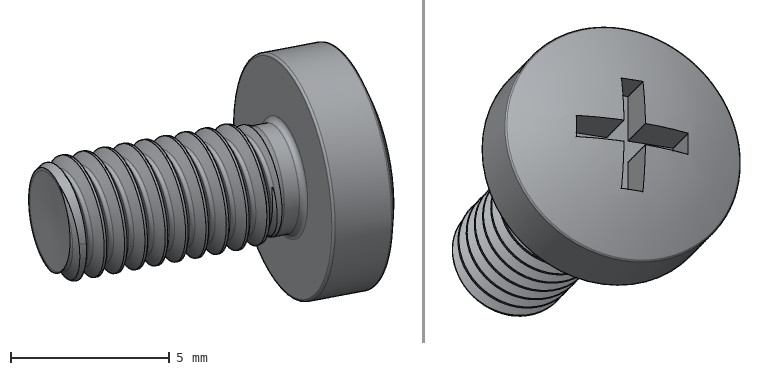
import cadquery as cq
import math


pitch = 0.7
major_radius = 2.0
shank_length = 8.0
sharp_height = pitch * math.sqrt(3) / 2
half_angle = math.radians(30)
crest_width = pitch / 8
root_round_radius = sharp_height / 6
thread_depth = 7 / 8 * sharp_height - root_round_radius
root_radius = major_radius - thread_depth
groove_start = 0.32 - pitch
groove_turns = math.ceil(shank_length / pitch) + 2
radial_overcut = 0.05

neck_radius = 1.79
neck_length = 0.72
neck_fillet = 0.2
thread_taper_length = pitch
runout_radius = 1.75
runout_angle = math.radians(30)
tip_radius = 1.73
tip_angle = math.radians(30)
tip_dish_radius = 1.635
tip_dish_depth = 0.07

head_radius = 4.0
head_side_height = 2.06
head_height = 3.08
edge_round_radius = 0.08

recess_span = 3.8
recess_width = 0.73
recess_depth = 1.5


def make_head():
    """Cylinder with a shallow spherical top and rounded rims."""
    dome_rise = head_height - head_side_height
    dome_radius = (head_radius**2 + dome_rise**2) / (2 * dome_rise)
    dome_middle_x = head_radius / 2
    dome_middle_z = dome_radius - head_height - math.sqrt(dome_radius**2 - dome_middle_x**2)
    head = (
        cq.Workplane("XZ")
        .lineTo(head_radius, 0)
        .lineTo(head_radius, -head_side_height)
        .threePointArc((dome_middle_x, dome_middle_z), (0, -head_height))
        .close()
        .revolve(360, (0, 0, 0), (0, 1, 0))
    )
    return head.edges("%CIRCLE").fillet(edge_round_radius)


def make_recess():
    """Cross of two straight slots sunk into the crown of the head."""
    slot = cq.Workplane("XY").workplane(offset=-head_height)
    lengthwise = slot.rect(recess_span, recess_width).extrude(recess_depth)
    crosswise = slot.rect(recess_width, recess_span).extrude(recess_depth)
    return lengthwise.union(crosswise)


def make_thread_outline():
    """Envelope of the thread: tapered at both ends, with a shallow dish in the tip."""
    tip_length = (major_radius - tip_radius) / math.tan(tip_angle)
    return (
        cq.Workplane("XZ")
        .moveTo(0, neck_length)
        .lineTo(neck_radius, neck_length)
        .lineTo(major_radius, neck_length + thread_taper_length)
        .lineTo(major_radius, shank_length - tip_length)
        .lineTo(tip_radius, shank_length)
        .lineTo(tip_dish_radius, shank_length)
        .lineTo(0, shank_length - tip_dish_depth)
        .close()
        .revolve(360, (0, 0, 0), (0, 1, 0))
    )


def make_groove():
    """Right-hand helical groove with 60 degree flanks and a round root."""
    outer_radius = major_radius + radial_overcut
    outer_half_width = (pitch - crest_width) / 2 + radial_overcut * math.tan(half_angle)
    tangent_radius = root_radius + root_round_radius * (1 - math.sin(half_angle))
    tangent_half_width = root_round_radius * math.cos(half_angle)
    helix = cq.Wire.makeHelix(pitch, groove_turns * pitch, root_radius)
    groove = (
        cq.Workplane("XZ")
        .moveTo(outer_radius, -outer_half_width)
        .lineTo(tangent_radius, -tangent_half_width)
        .threePointArc((root_radius, 0), (tangent_radius, tangent_half_width))
        .lineTo(outer_radius, outer_half_width)
        .close()
        .sweep(cq.Workplane(helix), isFrenet=True)
    )
    return groove.translate((0, 0, groove_start))


def make_thread():
    """Grooved bar, longer than the groove at both ends, trimmed to the outline of the thread."""
    groove_length = groove_turns * pitch
    bar = (
        cq.Workplane("XY")
        .workplane(offset=groove_start - 2 * pitch)
        .circle(major_radius)
        .extrude(groove_length + 4 * pitch)
    )
    return bar.cut(make_groove()).intersect(make_thread_outline())


def make_neck():
    """Plain neck, flared into the head and with a cone where the groove runs out."""
    cone_length = (runout_radius - root_radius) / math.tan(runout_angle)
    flare_corner = neck_fillet * (1 - math.sqrt(0.5))
    return (
        cq.Workplane("XZ")
        .lineTo(neck_radius + neck_fillet, 0)
        .threePointArc((neck_radius + flare_corner, flare_corner), (neck_radius, neck_fillet))
        .lineTo(neck_radius, neck_length)
        .lineTo(runout_radius, neck_length)
        .lineTo(root_radius, neck_length + cone_length)
        .lineTo(0, neck_length + cone_length)
        .close()
        .revolve(360, (0, 0, 0), (0, 1, 0))
    )


shank = make_thread().union(make_neck())
screw = make_head().cut(make_recess()).union(shank)
result = screw.rotate((0, 0, 0), (1, 0, 0), 90)